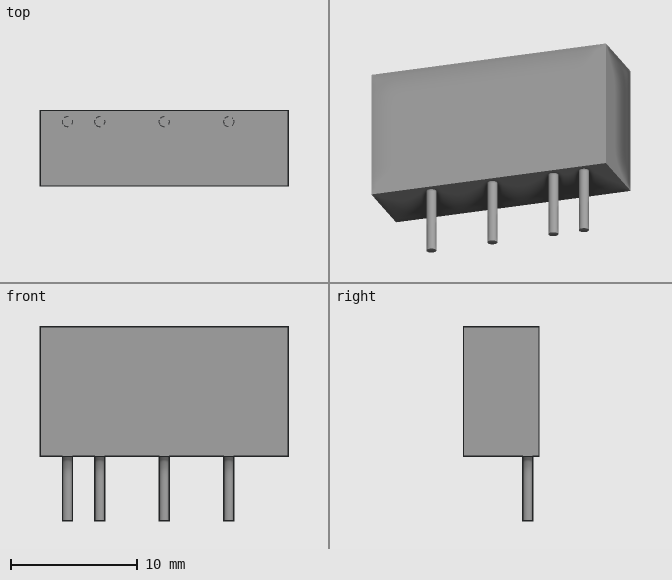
import cadquery as cq

HOUSING_LENGTH = 19.6
HOUSING_WIDTH = 6.0
HOUSING_HEIGHT = 10.25

TOTAL_HEIGHT = 15.35
PIN_LENGTH = TOTAL_HEIGHT - HOUSING_HEIGHT
PIN_DIAMETER = 0.8
PIN_PITCH = 2.55
PIN_ROW_INSET = 0.9
PIN_ROW_Y = HOUSING_WIDTH / 2 - PIN_ROW_INSET
PIN_STEPS = (-3, -2, 0, 2)


def make_housing():
    """Plain rectangular block standing on Z = 0."""
    return cq.Workplane("XY").box(
        HOUSING_LENGTH, HOUSING_WIDTH, HOUSING_HEIGHT, centered=(True, True, False)
    )


def make_pin(x):
    """Straight round pin hanging from the underside of the housing."""
    return cq.Workplane("XY").center(x, PIN_ROW_Y).circle(PIN_DIAMETER / 2).extrude(-PIN_LENGTH)


housing = make_housing()
pins = [make_pin(step * PIN_PITCH) for step in PIN_STEPS]

result = cq.Compound.makeCompound([housing.val(), *[pin.val() for pin in pins]])